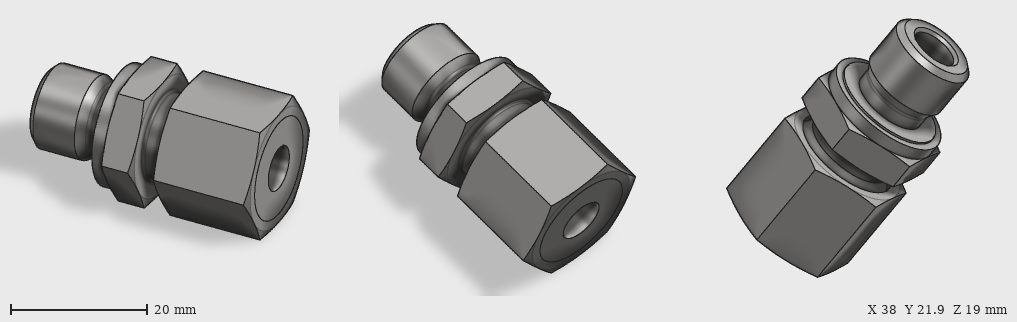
import cadquery as cq
import math

total_length = 38.0
across_flats = 19.0
across_corners = across_flats / math.cos(math.radians(30))

spigot_radius = 6.57
spigot_tip_radius = 5.65
tip_chamfer_length = 0.9
spigot_thread_end = 7.7
neck_radius = 5.6
neck_fillet = 1.2
runout_angle = 30.0

collar_radius = 9.45
collar_start = 12.0
seal_radius = 8.3
seal_protrusion = 0.35
seal_recess_depth = 1.15
body_hex_start = 14.0
body_hex_end = 19.0

undercut_radius = 6.88
undercut_fillet = 0.45
undercut_end = 21.62
stud_radius = 8.0

bore_radius = 3.5
bore_mouth_radius = 4.0
bore_chamfer = bore_mouth_radius - bore_radius

nut_start = 22.5

corner_chamfer_angle = 15.0
chamfer_circle_radius = across_flats / 2
cone_length = (across_corners / 2 - chamfer_circle_radius) * math.tan(math.radians(corner_chamfer_angle))


def revolve_about_x(outline):
    """Revolve a closed (x, radius) outline fully around the X axis."""
    return outline.close().revolve(360, (0, 0, 0), (1, 0, 0))


def cylinder_x(radius, start, end):
    """Solid cylinder along X between two positions."""
    return cq.Workplane("YZ").workplane(offset=start).circle(radius).extrude(end - start)


def chamfered_hexagon(start, end):
    """Hexagonal prism along X, flats facing +Z and -Z, corners trimmed by a cone at both ends."""
    prism = (
        cq.Workplane("YZ")
        .workplane(offset=start)
        .polygon(6, across_corners)
        .extrude(end - start)
    )
    trim = revolve_about_x(
        cq.Workplane("XY")
        .moveTo(start, 0)
        .lineTo(start, chamfer_circle_radius)
        .lineTo(start + cone_length, across_corners / 2)
        .lineTo(end - cone_length, across_corners / 2)
        .lineTo(end, chamfer_circle_radius)
        .lineTo(end, 0)
    )
    return prism.intersect(trim)


def runout_length(radius_change):
    """Axial length of a thread run-out cone for a given change in radius."""
    return radius_change / math.tan(math.radians(runout_angle))


def make_spigot():
    """Threaded spigot and relief neck, reaching into the collar."""
    runout_end = spigot_thread_end + runout_length(spigot_radius - neck_radius)
    tangent_length = neck_fillet * math.tan(math.radians(runout_angle / 2))
    fillet_start = (
        runout_end - tangent_length * math.cos(math.radians(runout_angle)),
        neck_radius + tangent_length * math.sin(math.radians(runout_angle)),
    )
    fillet_middle = (
        runout_end + tangent_length - neck_fillet * math.sin(math.radians(runout_angle / 2)),
        neck_radius + neck_fillet * (1 - math.cos(math.radians(runout_angle / 2))),
    )
    fillet_end = (runout_end + tangent_length, neck_radius)
    return revolve_about_x(
        cq.Workplane("XY")
        .moveTo(0, 0)
        .lineTo(0, spigot_tip_radius)
        .lineTo(tip_chamfer_length, spigot_radius)
        .lineTo(spigot_thread_end, spigot_radius)
        .lineTo(*fillet_start)
        .threePointArc(fillet_middle, fillet_end)
        .lineTo(body_hex_start, neck_radius)
        .lineTo(body_hex_start, 0)
    )


def make_stud():
    """Undercut with a root fillet at the hexagon, run-out cone and nut thread."""
    fillet_inset = undercut_fillet * (1 - math.sqrt(0.5))
    return revolve_about_x(
        cq.Workplane("XY")
        .moveTo(body_hex_end, 0)
        .lineTo(body_hex_end, undercut_radius + undercut_fillet)
        .threePointArc(
            (body_hex_end + fillet_inset, undercut_radius + fillet_inset),
            (body_hex_end + undercut_fillet, undercut_radius),
        )
        .lineTo(undercut_end, undercut_radius)
        .lineTo(undercut_end + runout_length(stud_radius - undercut_radius), stud_radius)
        .lineTo(total_length, stud_radius)
        .lineTo(total_length, 0)
    )


def make_bore():
    """Through bore with a 45 degree chamfer at the spigot mouth."""
    return revolve_about_x(
        cq.Workplane("XY")
        .moveTo(0, 0)
        .lineTo(0, bore_mouth_radius)
        .lineTo(bore_chamfer, bore_radius)
        .lineTo(total_length, bore_radius)
        .lineTo(total_length, 0)
    )


def make_seal_ring():
    """Flat ring around the neck, seated in the collar and standing slightly proud of it."""
    seal_start = collar_start - seal_protrusion
    seal_end = collar_start + seal_recess_depth
    return cylinder_x(seal_radius, seal_start, seal_end).cut(cylinder_x(neck_radius, seal_start, seal_end))


def make_body(seal_ring):
    """Screw-in body: spigot, collar with seal recess, hexagon and stud."""
    collar = cylinder_x(collar_radius, collar_start, body_hex_start).cut(seal_ring)
    hexagon = chamfered_hexagon(body_hex_start, body_hex_end)
    return make_spigot().union(collar).union(hexagon).union(make_stud()).cut(make_bore())


def make_nut():
    """Hexagonal union nut with a plain bore over the stud thread."""
    return chamfered_hexagon(nut_start, total_length).cut(cylinder_x(stud_radius, nut_start, total_length))


seal_ring = make_seal_ring()
body = make_body(seal_ring)
nut = make_nut()

result = cq.Compound.makeCompound([body.val(), seal_ring.val(), nut.val()])